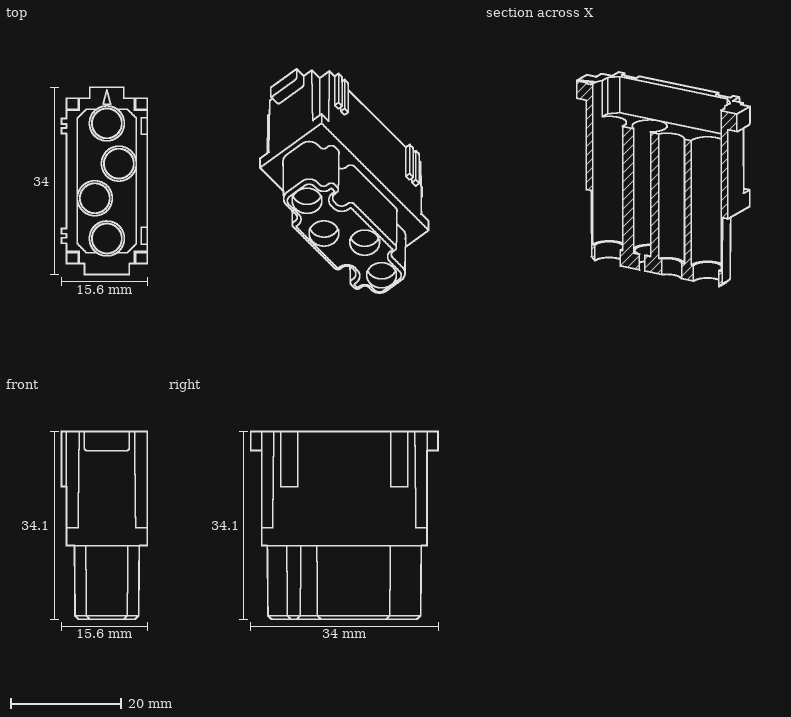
import cadquery as cq


total_height = 34.1
overall_length = 34.0
plug_height = 13.4
flange_height = 3.2
flange_top = plug_height + flange_height

body_width = 14.65
body_length = 30
notch_floor_width = 2.1
notch_floor_length = 2.0
notch_widening = 0.2

tab_height = 3.48
tab_fillet = 0.5
tab_reach = (overall_length - body_length) / 2
front_tab_width = 8.2
back_tab_width = 6.2

rib_height = 10.0
rib_width = 1.02
rib_reach = 0.92
rib_pair_offset = 9.95
rib_pitch = 1.7
recess_width = 3.07
recess_depth = 1.05

pocket_width = 10.75
pocket_length = 26.0
pocket_corner = 1.65
pocket_depth = 7.0
pocket_floor = total_height - pocket_depth

cavity_diameter = 6.35
hole_diameter = 5.4
ledge_height = 3.07
outer_cavity_y = 10.45
inner_cavity_x = 2.18
inner_cavity_y = 3.15
outer_cavities = [(0, outer_cavity_y), (0, -outer_cavity_y)]
inner_cavities = [(inner_cavity_x, inner_cavity_y), (-inner_cavity_x, -inner_cavity_y)]

plug_half_width = 5.9
plug_half_length = 13.98
nose_half_width = 3.82
nose_radius = 2.05
edge_radius = 0.85
hollow_radius = 0.8
groove_radius = 1.15
long_step_y = 8.35
groove_start_y = 4.98
groove_end_y = 7.88
rib_end_y = 10.45
plug_draft = 0.5
plug_chamfer = 0.68

mark_tip_y = 16.5
mark_base_y = 13.9
mark_width = 1.35
mark_depth = 0.17


def box(x_range, y_range, z_range):
    """Block spanning the given ranges."""
    (x0, x1), (y0, y1), (z0, z1) = x_range, y_range, z_range
    return cq.Workplane("XY").box(x1 - x0, y1 - y0, z1 - z0, centered=False).translate((x0, y0, z0))


def plug_outline():
    """Closed outline of the plug; the +X side is the -X side turned half a turn about Z."""
    rib_edge_x = plug_half_width - edge_radius
    shoulder_x = nose_half_width + hollow_radius
    groove_floor_x = shoulder_x - groove_radius
    nose_flat = nose_half_width - nose_radius

    side = [
        (-nose_half_width, nose_radius - plug_half_length, nose_radius),
        (-nose_half_width, -long_step_y - hollow_radius, 0),
        (-shoulder_x, -long_step_y, -hollow_radius),
        (-rib_edge_x, -long_step_y, 0),
        (-plug_half_width, edge_radius - long_step_y, edge_radius),
        (-plug_half_width, groove_start_y - edge_radius, 0),
        (-rib_edge_x, groove_start_y, edge_radius),
        (-shoulder_x, groove_start_y, 0),
        (-groove_floor_x, groove_start_y + groove_radius, -groove_radius),
        (-groove_floor_x, groove_end_y - groove_radius, 0),
        (-shoulder_x, groove_end_y, -groove_radius),
        (-rib_edge_x, groove_end_y, 0),
        (-plug_half_width, groove_end_y + edge_radius, edge_radius),
        (-plug_half_width, rib_end_y - edge_radius, 0),
        (-rib_edge_x, rib_end_y, edge_radius),
        (-shoulder_x, rib_end_y, 0),
        (-nose_half_width, rib_end_y + hollow_radius, -hollow_radius),
        (-nose_half_width, plug_half_length - nose_radius, 0),
        (-nose_flat, plug_half_length, nose_radius),
        (nose_flat, plug_half_length, 0),
    ]
    outline = cq.Workplane("XY").moveTo(-nose_flat, -plug_half_length)
    for turn in (1, -1):
        for x, y, radius in side:
            if radius == 0:
                outline = outline.lineTo(turn * x, turn * y)
            else:
                outline = outline.radiusArc((turn * x, turn * y), radius)
    return outline.close()


def make_plug():
    """Drafted plug, chamfered all round its lower end."""
    plug = plug_outline().extrude(plug_height, taper=plug_draft)
    plug = plug.faces(">Z").chamfer(plug_chamfer)
    return plug.mirror("XY").translate((0, 0, plug_height))


def corner_notch(x_side, y_side):
    """Cutter for one corner notch, widening slightly towards the top."""
    corner = (x_side * body_width / 2, y_side * body_length / 2)
    bottom_size = (2 * notch_floor_width, 2 * notch_floor_length)
    return (
        cq.Workplane("XY", origin=(*corner, flange_top))
        .rect(*bottom_size)
        .workplane(offset=total_height - flange_top)
        .rect(*(size + 2 * notch_widening for size in bottom_size))
        .loft()
    )


def make_body():
    body = box(
        (-body_width / 2, body_width / 2),
        (-body_length / 2, body_length / 2),
        (plug_height, total_height),
    )
    for x_side in (-1, 1):
        for y_side in (-1, 1):
            body = body.cut(corner_notch(x_side, y_side))
    return body


def end_tab(y_side, width):
    """Tab on one end face, its two lower edges rounded."""
    inner, outer = body_length / 2, body_length / 2 + tab_reach
    y_range = sorted((y_side * inner, y_side * outer))
    tab = box((-width / 2, width / 2), y_range, (total_height - tab_height, total_height))
    return tab.edges("|Y and <Z").fillet(tab_fillet)


def coding_rib(y):
    side_x = -body_width / 2
    return box(
        (side_x - rib_reach, side_x),
        (y - rib_width / 2, y + rib_width / 2),
        (total_height - rib_height, total_height),
    )


def coding_recess(y):
    side_x = body_width / 2
    return box(
        (side_x - recess_depth, side_x),
        (y - recess_width / 2, y + recess_width / 2),
        (total_height - rib_height, total_height),
    )


def make_pocket():
    """Cutter for the pocket: an octagon in plan."""
    pocket = box(
        (-pocket_width / 2, pocket_width / 2),
        (-pocket_length / 2, pocket_length / 2),
        (pocket_floor, total_height),
    )
    return pocket.edges("|Z").chamfer(pocket_corner)


def cylinders(centres, diameter, bottom, top):
    return (
        cq.Workplane("XY", origin=(0, 0, bottom))
        .pushPoints(centres)
        .circle(diameter / 2)
        .extrude(top - bottom)
    )


def pin_one_mark():
    return (
        cq.Workplane("XY", origin=(0, 0, total_height - mark_depth))
        .polyline([(-mark_width / 2, mark_base_y), (mark_width / 2, mark_base_y), (0, mark_tip_y)])
        .close()
        .extrude(mark_depth)
    )


result = make_body().union(make_plug())
result = result.union(end_tab(-1, front_tab_width)).union(end_tab(1, back_tab_width))
for pair_y in (-rib_pair_offset, rib_pair_offset):
    result = result.cut(coding_recess(pair_y))
    for shift in (-rib_pitch / 2, rib_pitch / 2):
        result = result.union(coding_rib(pair_y + shift))

result = result.cut(make_pocket())
result = result.cut(cylinders(outer_cavities + inner_cavities, hole_diameter, 0, pocket_floor))
result = result.cut(cylinders(outer_cavities, cavity_diameter, ledge_height, total_height))
result = result.cut(cylinders(inner_cavities, cavity_diameter, ledge_height, pocket_floor))
result = result.cut(pin_one_mark())